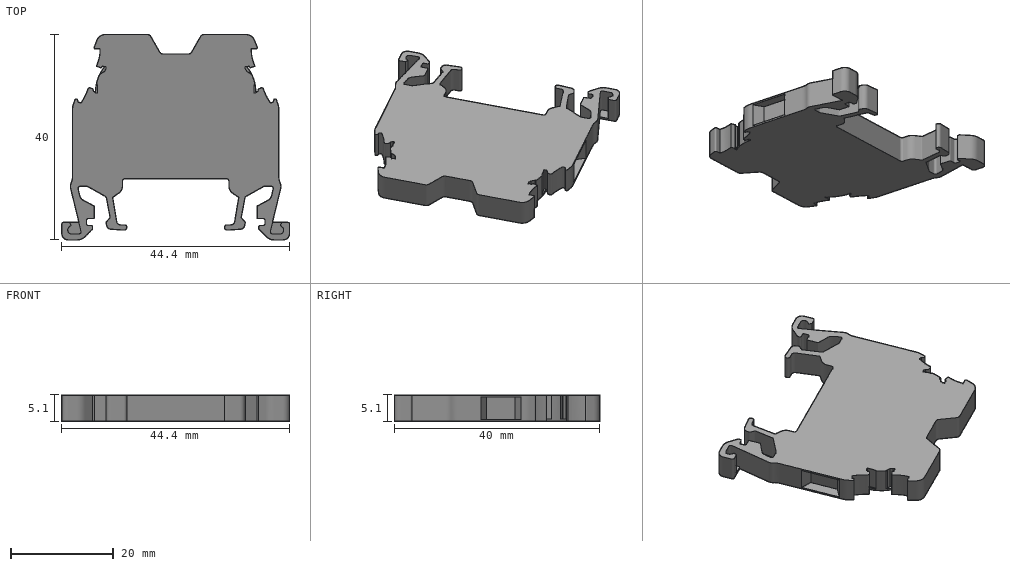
import cadquery as cq
import math

WIDTH = 44.35
HEIGHT = 40.0
THICKNESS = 5.1
HALF_WIDTH = WIDTH / 2

SIDE_X = -20.1
RAIL_FACE_Y = 11.9
TOP_NOTCH_Y = 36.17
TOP_NOTCH_RADIUS = 0.8

FLOOR_THICKNESS = 0.45

HOOK_TOP_Y = 3.45
RAIL_SLOT_X = -17.35
RAIL_SLOT_BOTTOM = 2.85
RAIL_SLOT_TOP = 4.15
RAIL_SLOT_RADIUS = 0.3
FOOT_PAD_X = -15.83
GAP_TOP_Y = 10.4

POCKET_TOP_Y = 24.65
POCKET_BOTTOM_Y = 16.8
POCKET_END_SLOPE = 1.15
POCKET_DEPTH = 2.0
POCKET_WALL = 0.35


def rounded_outline(corners):
    """Closed outline through (x, y, radius) corners, starting at a sharp one; radius 0 is sharp."""
    stretches = []
    for i, (x, y, radius) in enumerate(corners):
        if radius == 0:
            stretches.append([(x, y)])
            continue
        before = corners[i - 1]
        after = corners[(i + 1) % len(corners)]
        angle_in = math.atan2(before[1] - y, before[0] - x)
        angle_out = math.atan2(after[1] - y, after[0] - x)
        half_turn = math.remainder(angle_out - angle_in, 2 * math.pi) / 2
        bisector = angle_in + half_turn
        to_tangent = radius / math.tan(abs(half_turn))
        to_middle = radius / math.sin(abs(half_turn)) - radius
        stretches.append([
            (x + to_tangent * math.cos(angle_in), y + to_tangent * math.sin(angle_in)),
            (x + to_middle * math.cos(bisector), y + to_middle * math.sin(bisector)),
            (x + to_tangent * math.cos(angle_out), y + to_tangent * math.sin(angle_out)),
        ])

    path = cq.Workplane("XY").moveTo(*stretches[0][-1])
    for stretch in stretches[1:]:
        path = path.lineTo(*stretch[0])
        if len(stretch) == 3:
            path = path.threePointArc(stretch[1], stretch[2])
    return path.close()


def prism(corners, bottom, top):
    """Upright prism on a closed outline of (x, y, radius) corners."""
    return rounded_outline(corners).extrude(top - bottom).translate((0, 0, bottom))


top_shoulder = [
    (0, TOP_NOTCH_Y, 0),
    (-2.9, TOP_NOTCH_Y, TOP_NOTCH_RADIUS),
    (-5.05, HEIGHT, TOP_NOTCH_RADIUS),
    (-14.9, HEIGHT, 1.77),
    (-16.0, 37.15, 0.25),
    (-14.7, 37.15, 0),
    (-14.7, 35.75, 6.65),
    (-15.43, 33.8, 0),
]
latch_edge = [
    (-14.5, 33.45, 0),
    (-14.25, 33.8, 0),
    (-13.88, 33.65, 0),
    (-15.5, 31.47, 7.75),
    (-15.6, 28.8, 0),
    (-15.95, 28.9, 0),
    (-16.1, 29.4, 0.18),
    (-16.95, 29.75, 0.35),
    (-17.55, 28.0, 9.75),
    (-18.45, 26.65, 0.18),
    (-18.97, 26.85, 0),
    (-19.1, 27.45, 0.25),
    (-19.55, 27.45, 0.25),
    (SIDE_X, 25.9, 2.65),
]
rail_foot = [
    (SIDE_X, 11.7, 2.9),
    (-20.55, 10.55, 1.55),
    (-18.85, HOOK_TOP_Y, 0),
    (-HALF_WIDTH, HOOK_TOP_Y, 0.4),
    (-HALF_WIDTH, 0, 1.3),
    (-18.25, 0, 2.15),
    (-16.15, 2.15, 0.2),
    (-16.15, RAIL_SLOT_BOTTOM, RAIL_SLOT_RADIUS),
    (RAIL_SLOT_X, RAIL_SLOT_BOTTOM, RAIL_SLOT_RADIUS),
    (RAIL_SLOT_X, RAIL_SLOT_TOP, RAIL_SLOT_RADIUS),
    (FOOT_PAD_X, RAIL_SLOT_TOP, 0.15),
    (FOOT_PAD_X, 6.6, 0.1),
    (-18.5, 8.02, 1.35),
    (-19.05, GAP_TOP_Y, 0.4),
]
inner_leg = [
    (-17.15, GAP_TOP_Y, 0.3),
    (-13.5, 8.4, 0.4),
    (-12.75, 4.35, 0.18),
    (-13.55, 3.45, 0.3),
    (-13.3, 2.15, 0.95),
    (-9.5, 1.85, 0.55),
    (-9.5, 2.95, 0.5),
    (-11.35, 2.95, 0.7),
    (-12.25, 8.3, 0.15),
    (-10.35, 9.6, 1.7),
    (-10.35, RAIL_FACE_Y, 0.45),
    (0, RAIL_FACE_Y, 0),
]
half = prism(top_shoulder + latch_edge + rail_foot + inner_leg, 0, THICKNESS)

hook_mouth = [
    (-20.65, HOOK_TOP_Y, 0),
    (-20.35, 2.9, 0.1),
    (-21.1, 2.17, 0.7),
    (-20.8, 1.2, 0.65),
    (-18.3, 1.2, 0.4),
    (-18.85, HOOK_TOP_Y, 0),
]
upper_groove = [
    (-14.25, 33.8, 0),
    (-13.5, 33.7, 0),
    (-13.5, 33.35, 0),
    (-13.85, 32.8, 0),
    (-14.67, 32.27, 0),
]
lower_groove = [
    (-15.45, 30.75, 0),
    (-15.25, 30.15, 0),
    (-15.2, 28.65, 0),
    (-15.55, 28.6, 0),
    (-15.95, 28.9, 0),
]
for recess in (hook_mouth, upper_groove, lower_groove):
    half = half.cut(prism(recess, FLOOR_THICKNESS, THICKNESS))

pocket_back_x = SIDE_X + POCKET_DEPTH
marker_pocket = [
    (SIDE_X, POCKET_TOP_Y, 0),
    (pocket_back_x, POCKET_TOP_Y - POCKET_END_SLOPE, 0),
    (pocket_back_x, POCKET_BOTTOM_Y + POCKET_END_SLOPE, 0),
    (SIDE_X, POCKET_BOTTOM_Y, 0),
]
half = half.cut(prism(marker_pocket, POCKET_WALL, THICKNESS - POCKET_WALL))

result = half.union(half.mirror("YZ"))